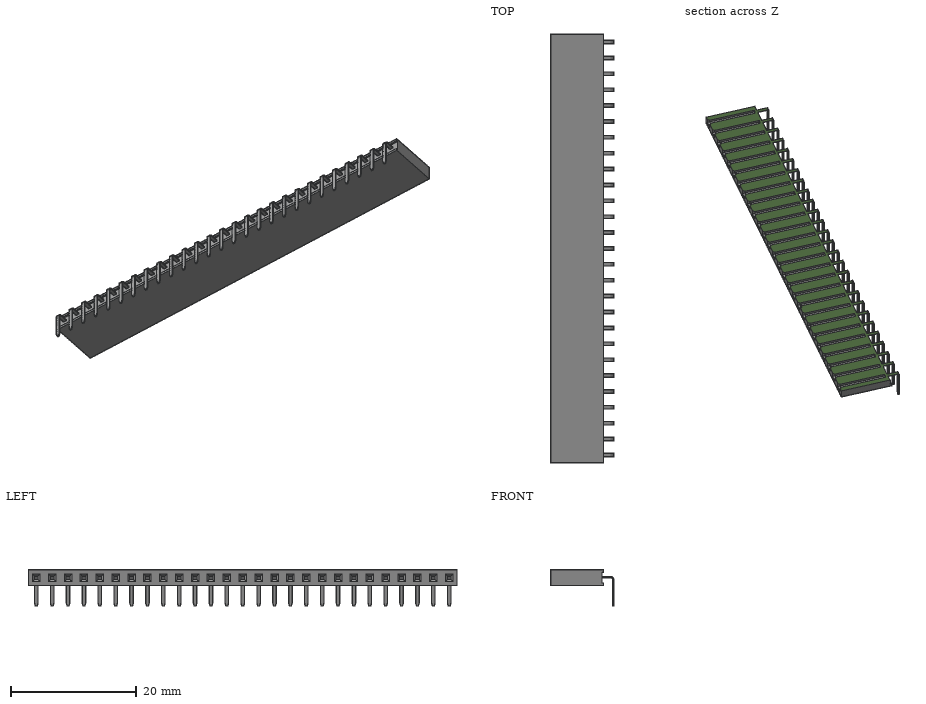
import cadquery as cq
import math

PIN_COUNT = 27
PITCH = 2.54

BODY_LENGTH = 8.5
BODY_WIDTH = PIN_COUNT * PITCH
BODY_HEIGHT = 2.54
RECESS_DEPTH = 0.25
RECESS_HEIGHT = 1.7

HOLE_SIZE = 0.6
LEAD_IN_DEPTH = 0.3
MOUTH_SIZE = HOLE_SIZE + 2 * LEAD_IN_DEPTH
HOLE_DEPTH = 8.0

PIN_WIDTH = 0.6
PIN_THICKNESS = 0.2
PIN_TOP = 1.45
PIN_REACH = 10.13
PIN_DROP = 3.3
BEND_RADIUS = 0.5
TIP_WIDTH = 0.3
TIP_LENGTH = 0.5
PIN_START = 7.75

MID_HEIGHT = BODY_HEIGHT / 2
BACK_FACE = BODY_LENGTH - RECESS_DEPTH
CONTACT_POSITIONS = [(i + 0.5) * PITCH for i in range(PIN_COUNT)]


def make_housing():
    """Rectangular bar with a shallow channel along its back face."""
    bar = cq.Workplane("XY").box(BODY_LENGTH, BODY_WIDTH, BODY_HEIGHT, centered=False)
    channel = (
        cq.Workplane("XY")
        .box(RECESS_DEPTH, BODY_WIDTH, RECESS_HEIGHT, centered=(False, False, True))
        .translate((BACK_FACE, 0, MID_HEIGHT))
    )
    return bar.cut(channel)


def make_socket():
    """Void of one socket, centred on Y = 0 and entered from X = 0."""
    lead_in = (
        cq.Workplane("YZ", origin=(0, 0, MID_HEIGHT))
        .rect(MOUTH_SIZE, MOUTH_SIZE)
        .workplane(offset=LEAD_IN_DEPTH)
        .rect(HOLE_SIZE, HOLE_SIZE)
        .loft(ruled=True)
    )
    hole = (
        cq.Workplane("YZ", origin=(LEAD_IN_DEPTH, 0, MID_HEIGHT))
        .rect(HOLE_SIZE, HOLE_SIZE)
        .extrude(HOLE_DEPTH - LEAD_IN_DEPTH)
    )
    return lead_in.union(hole)


def make_pin():
    """One bent pin centred on Y = 0, running through the thin wall behind its socket."""
    underside = PIN_TOP - PIN_THICKNESS
    inner_x = PIN_REACH - PIN_THICKNESS
    inner_radius = BEND_RADIUS - PIN_THICKNESS
    bend_x = PIN_REACH - BEND_RADIUS
    bend_z = PIN_TOP - BEND_RADIUS
    diagonal = math.cos(math.radians(45))
    strip = (
        cq.Workplane("XZ")
        .moveTo(PIN_START, PIN_TOP)
        .lineTo(bend_x, PIN_TOP)
        .threePointArc(
            (bend_x + BEND_RADIUS * diagonal, bend_z + BEND_RADIUS * diagonal),
            (PIN_REACH, bend_z),
        )
        .lineTo(PIN_REACH, -PIN_DROP)
        .lineTo(inner_x, -PIN_DROP)
        .lineTo(inner_x, bend_z)
        .threePointArc(
            (bend_x + inner_radius * diagonal, bend_z + inner_radius * diagonal),
            (bend_x, underside),
        )
        .lineTo(PIN_START, underside)
        .close()
        .extrude(PIN_WIDTH / 2, both=True)
    )
    taper_start = TIP_LENGTH - PIN_DROP
    for side in (-1, 1):
        corner = (
            cq.Workplane("YZ", origin=(inner_x, 0, 0))
            .polyline([
                (side * PIN_WIDTH / 2, taper_start),
                (side * PIN_WIDTH / 2, -PIN_DROP),
                (side * TIP_WIDTH / 2, -PIN_DROP),
            ])
            .close()
            .extrude(PIN_THICKNESS)
        )
        strip = strip.cut(corner)
    return strip


def place_along_row(shape):
    """Copies of a shape at every contact position."""
    copies = cq.Workplane("XY")
    for y in CONTACT_POSITIONS:
        copies = copies.add(shape.translate((0, y, 0)))
    return copies.combine()


result = (
    make_housing()
    .cut(place_along_row(make_socket()))
    .union(place_along_row(make_pin()))
)